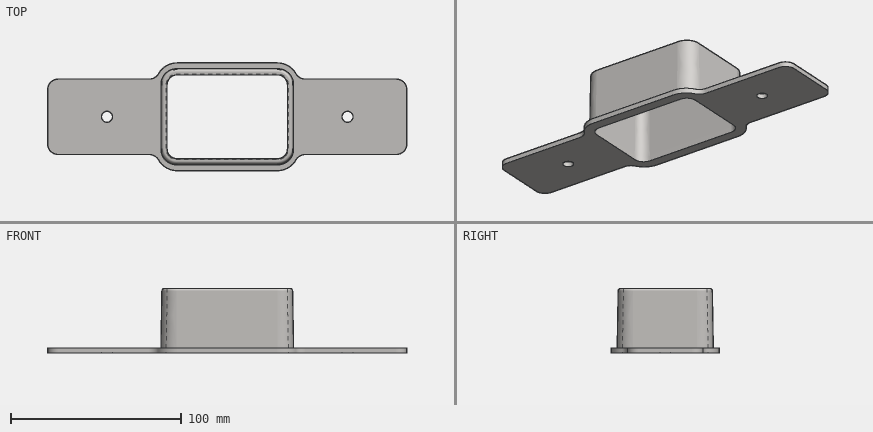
import cadquery as cq
import math

plate_thickness = 3.175
ear_reach = 63.5
ear_width = 44.45
ear_corner_radius = 6.35
neck_radius = 6.35
total_length = 211.12
hub_length = total_length - 2 * ear_reach
hub_width = 63.5
hub_corner_radius = 12.7

hole_diameter = 6.35
hole_end_distance = 34.925
hole_offset = total_length / 2 - hole_end_distance

total_height = 38.1
collar_length = 78.1
collar_width = 56.64
collar_corner_radius = 9.525
collar_height = total_height - plate_thickness
collar_draft = 1.0
collar_wall = 3.175
rim_fillet_radius = 1.5875

opening_length = collar_length - 2 * collar_wall
opening_width = collar_width - 2 * collar_wall
opening_corner_radius = collar_corner_radius - collar_wall


def rounded_block(length, width, height, radius, base_z, taper=0):
    """Block with rounded vertical corners, standing on base_z and centred on the Z axis."""
    outline = cq.Sketch().rect(length, width).vertices().fillet(radius)
    return cq.Workplane("XY").workplane(offset=base_z).placeSketch(outline).extrude(height, taper=taper)


def make_plate():
    hub = rounded_block(hub_length, hub_width, plate_thickness, hub_corner_radius, 0)
    ears = rounded_block(total_length, ear_width, plate_thickness, ear_corner_radius, 0)
    plate = hub.union(ears)
    for side_x in (-1, 1):
        for side_y in (-1, 1):
            plate = plate.union(make_neck_fillet(side_x, side_y))
    return plate


def make_neck_fillet(side_x, side_y):
    """Concave blend between a hub corner arc and the straight edge of an ear."""
    hub_arc_x = hub_length / 2 - hub_corner_radius
    hub_arc_y = hub_width / 2 - hub_corner_radius
    neck_y = ear_width / 2 + neck_radius
    centre_distance = hub_corner_radius + neck_radius
    neck_x = hub_arc_x + math.sqrt(centre_distance**2 - (neck_y - hub_arc_y) ** 2)

    hub_share = hub_corner_radius / centre_distance
    tangent_x = hub_arc_x + (neck_x - hub_arc_x) * hub_share
    tangent_y = hub_arc_y + (neck_y - hub_arc_y) * hub_share
    tangent_angle = math.atan2(neck_y - tangent_y, neck_x - tangent_x)
    middle_angle = (tangent_angle + math.pi / 2) / 2
    middle_x = neck_x - neck_radius * math.cos(middle_angle)
    middle_y = neck_y - neck_radius * math.sin(middle_angle)

    return (
        cq.Workplane("XY")
        .moveTo(side_x * hub_arc_x, side_y * hub_arc_y)
        .lineTo(side_x * tangent_x, side_y * tangent_y)
        .threePointArc(
            (side_x * middle_x, side_y * middle_y),
            (side_x * neck_x, side_y * ear_width / 2),
        )
        .lineTo(side_x * neck_x, side_y * hub_arc_y)
        .close()
        .extrude(plate_thickness)
    )


def make_collar():
    collar = rounded_block(
        collar_length, collar_width, collar_height, collar_corner_radius, plate_thickness, collar_draft
    )
    return collar.faces(">Z").edges().fillet(rim_fillet_radius)


def cut_opening(body):
    plate_opening = rounded_block(opening_length, opening_width, plate_thickness, opening_corner_radius, 0)
    collar_opening = rounded_block(
        opening_length, opening_width, collar_height, opening_corner_radius, plate_thickness, collar_draft
    )
    return body.cut(plate_opening).cut(collar_opening)


def cut_mounting_holes(body):
    holes = (
        cq.Workplane("XY")
        .pushPoints([(-hole_offset, 0), (hole_offset, 0)])
        .circle(hole_diameter / 2)
        .extrude(plate_thickness)
    )
    return body.cut(holes)


result = cut_mounting_holes(cut_opening(make_plate().union(make_collar())))